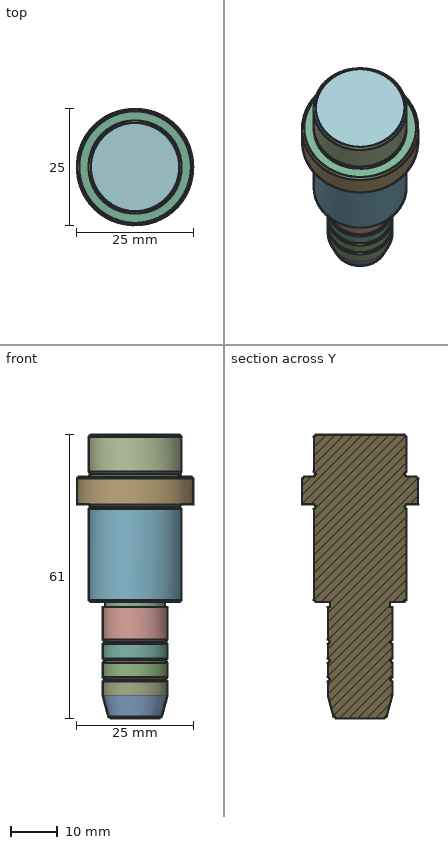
import cadquery as cq
import math

total_height = 61.0
flange_radius = 12.5
body_radius = 10.0
shank_diameter = 13.95
shank_radius = shank_diameter / 2
edge_chamfer = 0.5

flange_top = 52.05
flange_bottom = 46.0
body_bottom = 25.0
taper_top = 5.0

groove_depth = 0.5
groove_width = 2 * groove_depth
neck_radius = shank_radius - groove_depth
neck_bottom = body_bottom - groove_width
first_shank_groove = 16.5
shank_groove_pitch = 4.0
shank_groove_count = 3

taper_angle = 15.0
tip_radius = shank_radius - taper_top * math.tan(math.radians(taper_angle))


def cylinder(radius, bottom, top):
    """Cylinder on the Z axis between two heights."""
    return cq.Workplane("XY").workplane(offset=bottom).circle(radius).extrude(top - bottom)


def v_groove(surface_radius, height):
    """Ring of right-angled V section cut into a cylinder's surface."""
    outer_radius = surface_radius + groove_depth
    half_opening = 2 * groove_depth
    section = [
        (surface_radius - groove_depth, height),
        (outer_radius, height + half_opening),
        (outer_radius, height - half_opening),
    ]
    return cq.Workplane("XZ").polyline(section).close().revolve(360, (0, 0), (0, 1))


def make_shank():
    """Hose shank with its tapered, chamfered tip."""
    profile = [
        (0, 0),
        (tip_radius, 0),
        (shank_radius, taper_top),
        (shank_radius, neck_bottom),
        (0, neck_bottom),
    ]
    shank = cq.Workplane("XZ").polyline(profile).close().revolve(360, (0, 0), (0, 1))
    shank = shank.faces("<Z").edges().chamfer(edge_chamfer)
    for index in range(shank_groove_count):
        shank = shank.cut(v_groove(shank_radius, first_shank_groove - index * shank_groove_pitch))
    return shank


def make_body():
    """Main body and top plug, with a relief groove on either side of the flange."""
    body = cylinder(body_radius, body_bottom, total_height).edges().chamfer(edge_chamfer)
    for height in (flange_top + groove_depth, flange_bottom - groove_depth):
        body = body.cut(v_groove(body_radius, height))
    return body


neck = cylinder(neck_radius, neck_bottom, body_bottom)
flange = cylinder(flange_radius, flange_bottom, flange_top).faces(">Z").edges().chamfer(edge_chamfer)

result = make_shank().union(neck).union(make_body()).union(flange)